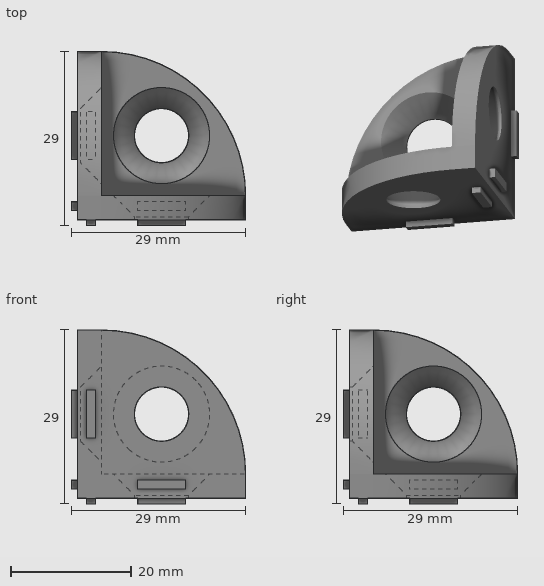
import cadquery as cq

overall = 29.0
tab_height = 1.0
wall = 4.0
hole_diameter = 9.0
countersink_diameter = 16.0
countersink_angle = 90.0
tab_length = 8.0
tab_width = 1.5
tab_inset = 1.5

side = overall - tab_height
center = side / 2
tab_center = tab_inset + tab_width / 2


def plate_outline():
    """Square with its far corner rounded by a quarter circle centred at (wall, wall)."""
    radius = side - wall
    return (
        cq.Workplane("XY")
        .lineTo(side, 0)
        .lineTo(side, wall)
        .radiusArc((wall, side), -radius)
        .lineTo(0, side)
        .close()
    )


def tab(x, y, length_x, length_y):
    """Rectangular locating tab projecting below the plate's outer face."""
    return cq.Workplane("XY").center(x, y).rect(length_x, length_y).extrude(-tab_height)


def corner_plate():
    """Floor plate with a hole countersunk from inside and two outer tabs."""
    plate = (
        plate_outline()
        .extrude(wall)
        .faces(">Z")
        .workplane(origin=(center, center, wall))
        .cskHole(hole_diameter, countersink_diameter, countersink_angle)
    )
    along_x = tab(center, tab_center, tab_length, tab_width)
    along_y = tab(tab_center, center, tab_width, tab_length)
    return plate.union(along_x).union(along_y)


floor = corner_plate()
result = floor
for turn in (120, 240):
    result = result.union(floor.rotate((0, 0, 0), (1, 1, 1), turn))